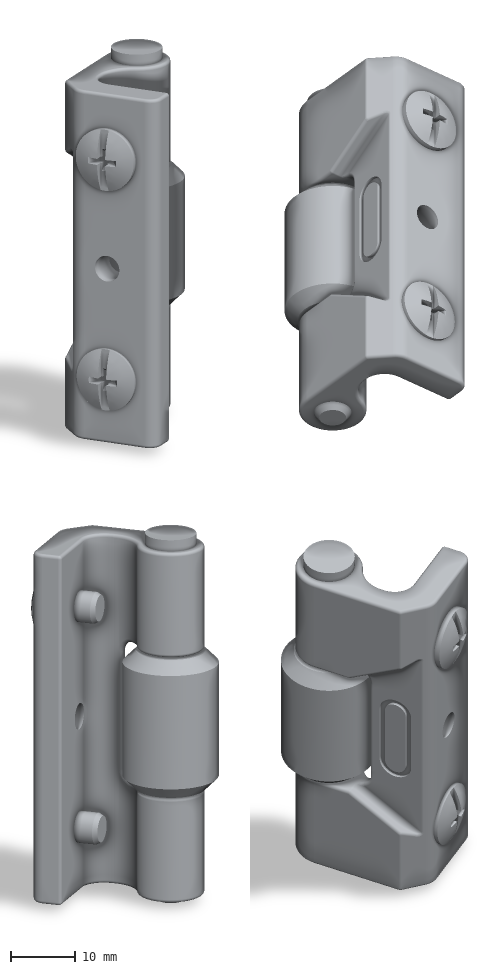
import cadquery as cq
import math


EDGE_RADIUS = 0.5

LEAF_HEIGHT = 57.0
KNUCKLE_RADIUS = 5.25
FRONT_Y = -18.8
PLATE_THICKNESS = 5.1
PLATE_BACK_Y = FRONT_Y + PLATE_THICKNESS
PLATE_END_X = 12.3
PLATE_END_RADIUS = 2.0
SIDE_X = -KNUCKLE_RADIUS
BEVEL = 3.9
BEVEL_RADIUS = 3.0
WEB_INNER_X = -1.3
INNER_CORNER_RADIUS = 3.4
HOLLOW_RADIUS = 5.4

WINDOW_HALF_HEIGHT = 11.5
WINDOW_BOTTOM_Y = -8.4
WINDOW_CORNER_RADIUS = 2.0
POCKET_FLOOR_X = -2.65
POCKET_START_Y = -6.05
POCKET_FLARE = math.radians(30)

BADGE_Y = -12.8
BADGE_LENGTH = 15.5
BADGE_WIDTH = 5.5
BADGE_GROOVE_WIDTH = 0.95
BADGE_GROOVE_DEPTH = 0.5

ROLLER_DIAMETER = 15.0
ROLLER_HEIGHT = 22.5
ROLLER_CHAMFER = 2.0
ROLLER_BORE = 6.1

PIN_DIAMETER = 5.9
PIN_TIP_DIAMETER = 4.2
PIN_TIP_LENGTH = 1.0
PIN_HEAD_DIAMETER = 8.0
PIN_HEAD_HEIGHT = 1.8

SCREW_X = 3.9
SCREW_Z = 18.0
SCREW_HEAD_DIAMETER = 10.0
SCREW_RIM_HEIGHT = 0.9
SCREW_DOME_HEIGHT = 1.35
SCREW_DIAMETER = 5.0
SCREW_LENGTH = 8.5
SCREW_TIP_CHAMFER = 0.4
SCREW_TIP_CHAMFER_LENGTH = 0.75
SLOT_WIDTH = 1.4
CROSS_WIDTH = 1.0
CROSS_FLOOR_LENGTH = 2.6
CROSS_MOUTH_LENGTH = 5.2
CROSS_DEPTH = 2.15
LOWER_SCREW_RECESS = 0.35
CENTRE_HOLE_DIAMETER = 4.2


def leaf_profile():
    """Cross-section of the leaf across the pin axis."""
    inner_corner_y = PLATE_BACK_Y + INNER_CORNER_RADIUS
    hollow_x = WEB_INNER_X + HOLLOW_RADIUS
    centre_distance = KNUCKLE_RADIUS + HOLLOW_RADIUS
    hollow_y = -math.sqrt(centre_distance**2 - hollow_x**2)
    blend = (
        hollow_x * KNUCKLE_RADIUS / centre_distance,
        hollow_y * KNUCKLE_RADIUS / centre_distance,
    )
    hollow_mid_angle = (math.pi + math.atan2(-hollow_y, -hollow_x)) / 2
    hollow_mid = (
        hollow_x + HOLLOW_RADIUS * math.cos(hollow_mid_angle),
        hollow_y + HOLLOW_RADIUS * math.sin(hollow_mid_angle),
    )
    diagonal = INNER_CORNER_RADIUS * (1 - math.sqrt(0.5))
    return (
        cq.Workplane("XY", origin=(0, 0, -LEAF_HEIGHT / 2))
        .moveTo(SIDE_X, 0)
        .lineTo(SIDE_X, FRONT_Y + BEVEL)
        .lineTo(SIDE_X + BEVEL, FRONT_Y)
        .lineTo(PLATE_END_X, FRONT_Y)
        .lineTo(PLATE_END_X, PLATE_BACK_Y)
        .lineTo(WEB_INNER_X + INNER_CORNER_RADIUS, PLATE_BACK_Y)
        .threePointArc(
            (WEB_INNER_X + diagonal, PLATE_BACK_Y + diagonal),
            (WEB_INNER_X, inner_corner_y),
        )
        .lineTo(WEB_INNER_X, hollow_y)
        .threePointArc(hollow_mid, blend)
        .threePointArc((0, KNUCKLE_RADIUS), (SIDE_X, 0))
        .close()
    )


def upright_edge(body, x, y, radius):
    """Round the upright edge of `body` at (x, y)."""
    return body.edges(cq.selectors.NearestToPointSelector((x, y, 0))).fillet(radius)


def window_cutter():
    """Opening between the knuckles, with two rounded corners."""
    top_y = KNUCKLE_RADIUS + 1
    return (
        cq.Workplane("YZ")
        .center((top_y + WINDOW_BOTTOM_Y) / 2, 0)
        .rect(top_y - WINDOW_BOTTOM_Y, 2 * WINDOW_HALF_HEIGHT)
        .extrude(2 * KNUCKLE_RADIUS, both=True)
        .edges("|X and <Y")
        .fillet(WINDOW_CORNER_RADIUS)
    )


def pocket_half_height(y):
    """Distance of the flared pocket walls from mid-height at a given y."""
    return WINDOW_HALF_HEIGHT + (POCKET_START_Y - y) * math.tan(POCKET_FLARE)


def pocket_cutter():
    """Flared pocket that thins the web beside the roller."""
    end_y = FRONT_Y - 1
    end_half_height = pocket_half_height(end_y)
    return (
        cq.Workplane("YZ", origin=(POCKET_FLOOR_X, 0, 0))
        .moveTo(POCKET_START_Y, WINDOW_HALF_HEIGHT)
        .lineTo(end_y, end_half_height)
        .lineTo(end_y, -end_half_height)
        .lineTo(POCKET_START_Y, -WINDOW_HALF_HEIGHT)
        .close()
        .extrude(2 * SIDE_X)
        .edges(">X and (not |Z)")
        .fillet(EDGE_RADIUS)
    )


def round_opening(body):
    """Round the outer rim of the knuckles and pocket, and the roller side of the thin web.

    One edge of each chain is picked; the rounding follows the edges tangent to it.
    """
    rim_y = WINDOW_BOTTOM_Y
    rim_z = pocket_half_height(rim_y)
    chain_points = [
        (SIDE_X, rim_y, rim_z),
        (SIDE_X, rim_y, -rim_z),
        (0, KNUCKLE_RADIUS, WINDOW_HALF_HEIGHT),
        (POCKET_FLOOR_X, WINDOW_BOTTOM_Y, 0),
    ]
    selector = cq.selectors.NearestToPointSelector(chain_points[0])
    for point in chain_points[1:]:
        selector = selector + cq.selectors.NearestToPointSelector(point)
    return body.edges(selector).fillet(EDGE_RADIUS)


def badge_groove():
    """Ring-shaped groove in the pocket floor."""
    floor = cq.Workplane("YZ", origin=(POCKET_FLOOR_X, BADGE_Y, 0))
    outer = floor.slot2D(BADGE_LENGTH, BADGE_WIDTH, 90).extrude(BADGE_GROOVE_DEPTH)
    island = floor.slot2D(
        BADGE_LENGTH - 2 * BADGE_GROOVE_WIDTH,
        BADGE_WIDTH - 2 * BADGE_GROOVE_WIDTH,
        90,
    ).extrude(BADGE_GROOVE_DEPTH)
    return outer.cut(island)


def plate_hole(diameter, z, depth):
    """Round cutter going into the mounting face."""
    return (
        cq.Workplane("XZ", origin=(SCREW_X, FRONT_Y, z))
        .circle(diameter / 2)
        .extrude(-depth)
    )


def make_leaf():
    leaf = leaf_profile().extrude(LEAF_HEIGHT)
    leaf = upright_edge(leaf, PLATE_END_X, FRONT_Y, PLATE_END_RADIUS)
    leaf = upright_edge(leaf, PLATE_END_X, PLATE_BACK_Y, EDGE_RADIUS)
    leaf = upright_edge(leaf, SIDE_X + BEVEL, FRONT_Y, BEVEL_RADIUS)
    leaf = upright_edge(leaf, SIDE_X, FRONT_Y + BEVEL, EDGE_RADIUS)
    leaf = leaf.faces("<Z or >Z").edges().fillet(EDGE_RADIUS)
    leaf = leaf.cut(window_cutter()).cut(pocket_cutter())
    leaf = round_opening(leaf)
    leaf = leaf.cut(badge_groove())

    pin_hole = cq.Workplane("XY").circle(PIN_DIAMETER / 2).extrude(LEAF_HEIGHT, both=True)
    leaf = leaf.cut(pin_hole)

    through_depth = PLATE_THICKNESS + INNER_CORNER_RADIUS
    leaf = leaf.cut(plate_hole(CENTRE_HOLE_DIAMETER, 0, through_depth))
    for z in (SCREW_Z, -SCREW_Z):
        leaf = leaf.cut(plate_hole(SCREW_DIAMETER, z, through_depth))
    return leaf.cut(plate_hole(SCREW_HEAD_DIAMETER, -SCREW_Z, LOWER_SCREW_RECESS))


def make_roller():
    return (
        cq.Workplane("XY", origin=(0, 0, -ROLLER_HEIGHT / 2))
        .circle(ROLLER_DIAMETER / 2)
        .extrude(ROLLER_HEIGHT)
        .edges()
        .chamfer(ROLLER_CHAMFER)
        .faces(">Z")
        .workplane()
        .hole(ROLLER_BORE)
    )


def make_pin():
    """Headed pin: half-section revolved about Z, head resting on the leaf."""
    leaf_top = LEAF_HEIGHT / 2
    tip_z = -leaf_top - PIN_TIP_LENGTH
    return (
        cq.Workplane("XZ")
        .moveTo(0, tip_z)
        .lineTo(PIN_TIP_DIAMETER / 2, tip_z)
        .lineTo(PIN_DIAMETER / 2, -leaf_top)
        .lineTo(PIN_DIAMETER / 2, leaf_top)
        .lineTo(PIN_HEAD_DIAMETER / 2, leaf_top)
        .lineTo(PIN_HEAD_DIAMETER / 2, leaf_top + PIN_HEAD_HEIGHT)
        .lineTo(0, leaf_top + PIN_HEAD_HEIGHT)
        .close()
        .revolve()
    )


def cross_arm(plane, head_top):
    """One tapered arm of the cross recess, cut from the top of the dome."""
    floor = head_top - CROSS_DEPTH
    return (
        cq.Workplane(plane)
        .moveTo(-CROSS_FLOOR_LENGTH / 2, floor)
        .lineTo(CROSS_FLOOR_LENGTH / 2, floor)
        .lineTo(CROSS_MOUTH_LENGTH / 2, head_top)
        .lineTo(-CROSS_MOUTH_LENGTH / 2, head_top)
        .close()
        .extrude(CROSS_WIDTH / 2, both=True)
    )


def make_screw(z, recess):
    """Screw built along Z with its seat at Z = 0, then turned to face -Y."""
    head_radius = SCREW_HEAD_DIAMETER / 2
    stem_radius = SCREW_DIAMETER / 2
    head_top = SCREW_RIM_HEIGHT + SCREW_DOME_HEIGHT
    dome_radius = (head_radius**2 + SCREW_DOME_HEIGHT**2) / (2 * SCREW_DOME_HEIGHT)
    half_angle = math.asin(head_radius / dome_radius) / 2
    dome_mid = (
        dome_radius * math.sin(half_angle),
        head_top - dome_radius * (1 - math.cos(half_angle)),
    )
    screw = (
        cq.Workplane("XZ")
        .moveTo(0, -SCREW_LENGTH)
        .lineTo(stem_radius - SCREW_TIP_CHAMFER, -SCREW_LENGTH)
        .lineTo(stem_radius, -SCREW_LENGTH + SCREW_TIP_CHAMFER_LENGTH)
        .lineTo(stem_radius, 0)
        .lineTo(head_radius, 0)
        .lineTo(head_radius, SCREW_RIM_HEIGHT)
        .threePointArc(dome_mid, (0, head_top))
        .close()
        .revolve()
    )
    slot = (
        cq.Workplane("XY", origin=(0, 0, SCREW_RIM_HEIGHT))
        .rect(SLOT_WIDTH, SCREW_HEAD_DIAMETER)
        .extrude(SCREW_DOME_HEIGHT)
    )
    screw = screw.cut(slot)
    for plane in ("XZ", "YZ"):
        screw = screw.cut(cross_arm(plane, head_top))
    return screw.rotate((0, 0, 0), (1, 0, 0), 90).translate((SCREW_X, FRONT_Y + recess, z))


leaf = make_leaf()
roller = make_roller()
pin = make_pin()
screws = [make_screw(SCREW_Z, 0), make_screw(-SCREW_Z, LOWER_SCREW_RECESS)]

result = cq.Compound.makeCompound(
    [leaf.val(), roller.val(), pin.val(), *[screw.val() for screw in screws]]
)